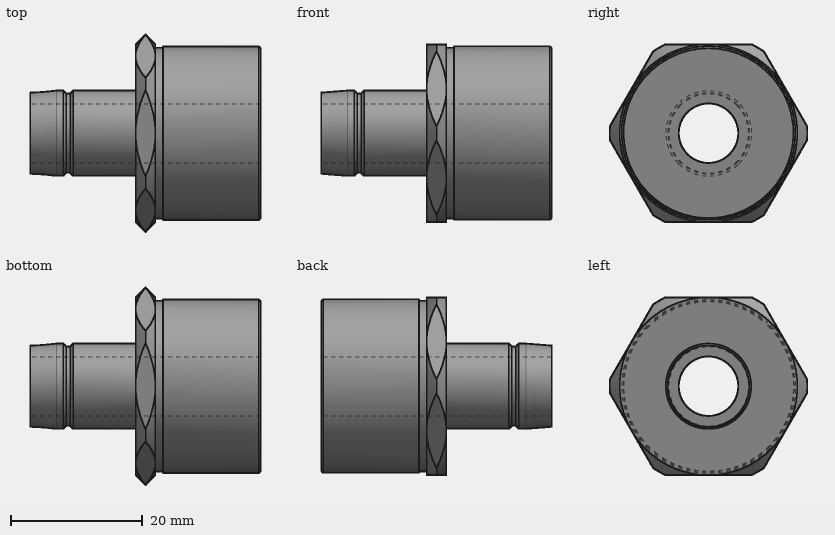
import cadquery as cq
import math

total_length = 35.0

tail_radius = 13.0 / 2
nose_end_radius = 12.35 / 2
nose_length = 4.0
groove_start = 5.0
groove_depth = 0.45
groove_floor_width = 0.6

flange_start = 16.0
flange_width = 3.0
hex_across_flats = 27.0
hex_rim_radius = 30.0 / 2

neck_radius = 26.0 / 2
neck_length = 1.1
flare_length = 0.1
body_radius = 26.4 / 2
body_chamfer = 0.3

bore_radius = 9.0 / 2

flange_end = flange_start + flange_width
neck_end = flange_end + neck_length


def make_tail():
    """Tail with a conical nose and a groove flaring at 45 degrees on both sides."""
    floor_radius = tail_radius - groove_depth
    floor_start = groove_start + groove_depth
    floor_end = floor_start + groove_floor_width
    return (
        cq.Workplane("XZ")
        .lineTo(flange_start, 0)
        .lineTo(flange_start, tail_radius)
        .lineTo(floor_end + groove_depth, tail_radius)
        .lineTo(floor_end, floor_radius)
        .lineTo(floor_start, floor_radius)
        .lineTo(groove_start, tail_radius)
        .lineTo(nose_length, tail_radius)
        .lineTo(0, nose_end_radius)
        .close()
        .revolve(360, (0, 0, 0), (1, 0, 0))
    )


def make_flange():
    """Hexagon with corners on Y, trimmed by a double cone that meets at mid-width."""
    face_radius = hex_across_flats / 2
    hexagon = (
        cq.Workplane("YZ", origin=(flange_start, 0, 0))
        .polygon(6, hex_across_flats / math.cos(math.pi / 6))
        .extrude(flange_width)
    )
    double_cone = (
        cq.Workplane("XZ")
        .moveTo(flange_start, 0)
        .lineTo(flange_start, face_radius)
        .lineTo(flange_start + flange_width / 2, hex_rim_radius)
        .lineTo(flange_end, face_radius)
        .lineTo(flange_end, 0)
        .close()
        .revolve(360, (0, 0, 0), (1, 0, 0))
    )
    return hexagon.intersect(double_cone)


def make_body():
    """Neck flaring through a short cone into the body, whose free end is chamfered."""
    return (
        cq.Workplane("XZ")
        .moveTo(flange_end, 0)
        .lineTo(flange_end, neck_radius)
        .lineTo(neck_end, neck_radius)
        .lineTo(neck_end + flare_length, body_radius)
        .lineTo(total_length - body_chamfer, body_radius)
        .lineTo(total_length, body_radius - body_chamfer)
        .lineTo(total_length, 0)
        .close()
        .revolve(360, (0, 0, 0), (1, 0, 0))
    )


bore = cq.Workplane("YZ").circle(bore_radius).extrude(total_length)
result = make_tail().union(make_flange()).union(make_body()).cut(bore)